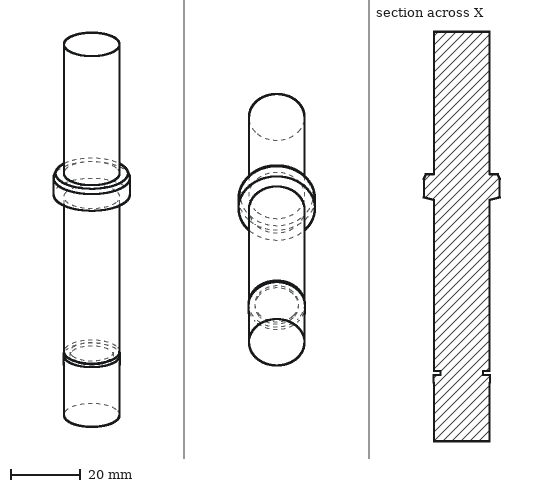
import cadquery as cq

length = 117.5
shaft_radius = 16.0 / 2

flange_radius = 22.0 / 2
flange_bottom = 69.2
flange_top = 76.6
upper_bevel_height = 1.4
upper_bevel_width = 0.6
lower_cone_height = 0.7
lower_cone_radius = 16.3 / 2

groove_radius = 12.5 / 2
groove_top = 20.1
groove_width = 1.0
band_radius = 16.3 / 2
band_height = 1.9
band_taper_height = 1.4

groove_bottom = groove_top - groove_width
band_bottom = groove_bottom - band_height
taper_bottom = band_bottom - band_taper_height

half_section = [
    (0, 0),
    (shaft_radius, 0),
    (shaft_radius, taper_bottom),
    (band_radius, band_bottom),
    (band_radius, groove_bottom),
    (groove_radius, groove_bottom),
    (groove_radius, groove_top),
    (shaft_radius, groove_top),
    (shaft_radius, flange_bottom),
    (lower_cone_radius, flange_bottom),
    (flange_radius, flange_bottom + lower_cone_height),
    (flange_radius, flange_top - upper_bevel_height),
    (flange_radius - upper_bevel_width, flange_top),
    (shaft_radius, flange_top),
    (shaft_radius, length),
    (0, length),
]

result = cq.Workplane("XZ").polyline(half_section).close().revolve(360, (0, 0, 0), (0, 1, 0))